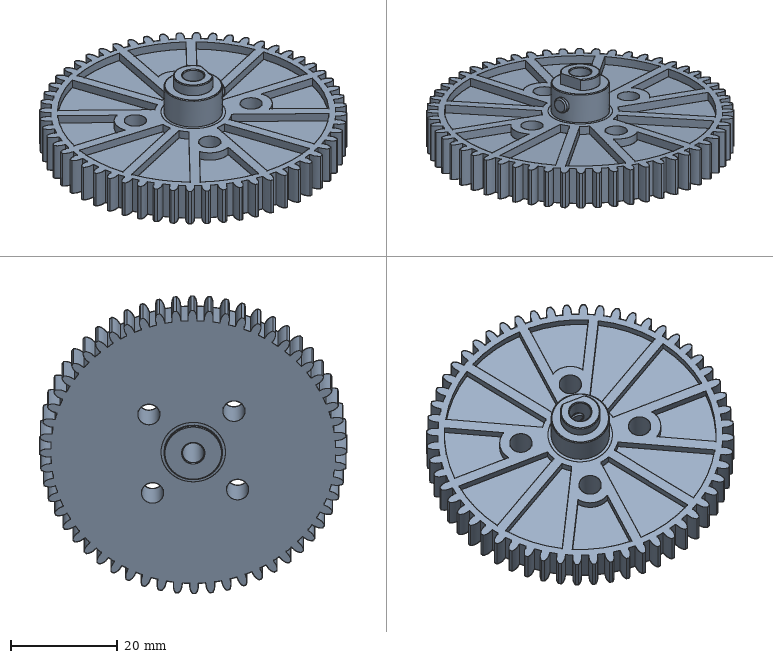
import cadquery as cq
import math

tooth_count = 56
tip_radius = 28.9
root_radius = 26.8
foot_radius = 27.3
flank_radius = 28.1
tooth_root_width = 1.7
tooth_foot_width = 1.6
tooth_flank_width = 1.45
tooth_tip_width = 0.6
gear_bottom = 0.5
gear_thickness = 7.15
gear_top = gear_bottom + gear_thickness

rim_inner_radius = 25.55
web_inner_radius = 7.3
pocket_depth = 1.6
spoke_count = 12
spoke_width = 1.9

mount_hole_count = 4
mount_hole_circle_radius = 11.3
mount_hole_radius = 2.1
mount_boss_radius = 4.0
mount_hole_start_angle = 75.0

hub_radius = 5.5
hub_top = 13.5
collar_radius = 6.05
neck_radius = 3.75
neck_top = 15.8
neck_flat_offset = 2.9
bore_radius = 2.0
hub_chamfer = 0.2

screw_radius = 1.5
screw_inner_end = 1.5
screw_outer_end = 6.25
screw_height = 10.85
screw_chamfer = 0.3


def polar_point(radius, angle):
    return (radius * math.cos(angle), radius * math.sin(angle))


def cylinder(radius, bottom, top):
    return cq.Workplane("XY").workplane(offset=bottom).circle(radius).extrude(top - bottom)


def gear_blank():
    """Toothed disc: straight feet, curved flanks, a narrow land at each tip and an arc at each root."""
    pitch_angle = 2 * math.pi / tooth_count
    root_half = tooth_root_width / 2 / root_radius
    foot_half = tooth_foot_width / 2 / foot_radius
    flank_half = tooth_flank_width / 2 / flank_radius
    tip_half = tooth_tip_width / 2 / tip_radius
    outline = cq.Workplane("XY").workplane(offset=gear_bottom).moveTo(*polar_point(root_radius, -root_half))
    for i in range(tooth_count):
        middle = i * pitch_angle
        next_root = middle + pitch_angle - root_half
        outline = (
            outline
            .lineTo(*polar_point(foot_radius, middle - foot_half))
            .threePointArc(
                polar_point(flank_radius, middle - flank_half),
                polar_point(tip_radius, middle - tip_half),
            )
            .threePointArc(
                polar_point(tip_radius, middle),
                polar_point(tip_radius, middle + tip_half),
            )
            .threePointArc(
                polar_point(flank_radius, middle + flank_half),
                polar_point(foot_radius, middle + foot_half),
            )
            .lineTo(*polar_point(root_radius, middle + root_half))
        )
        if i < tooth_count - 1:
            outline = outline.threePointArc(
                polar_point(root_radius, middle + pitch_angle / 2),
                polar_point(root_radius, next_root),
            )
    outline = outline.threePointArc(
        polar_point(root_radius, -pitch_angle / 2),
        polar_point(root_radius, -root_half),
    )
    return outline.close().extrude(gear_thickness)


def mount_angles():
    step = 360 / mount_hole_count
    return [mount_hole_start_angle + i * step for i in range(mount_hole_count)]


def mount_points():
    return [polar_point(mount_hole_circle_radius, math.radians(angle)) for angle in mount_angles()]


def pocket_cutter():
    """Ring-shaped recess in the top face, less the spokes and the lands around the mounting holes."""
    floor = cq.Workplane("XY").workplane(offset=gear_top - pocket_depth)
    cutter = floor.circle(rim_inner_radius).circle(web_inner_radius).extrude(pocket_depth)
    spoke_pair = floor.rect(2 * tip_radius, spoke_width).extrude(pocket_depth)
    for i in range(spoke_count // 2):
        angle = i * 360 / spoke_count
        cutter = cutter.cut(spoke_pair.rotate((0, 0, 0), (0, 0, 1), angle))
    half_sector = math.radians(180 / spoke_count)
    sector = (
        floor.polyline([
            (0, 0),
            polar_point(tip_radius, -half_sector),
            polar_point(tip_radius, half_sector),
        ]).close().extrude(pocket_depth)
    )
    boss = floor.center(mount_hole_circle_radius, 0).circle(mount_boss_radius).extrude(pocket_depth)
    inner_disc = floor.circle(mount_hole_circle_radius).extrude(pocket_depth)
    land = inner_disc.union(boss).intersect(sector)
    for angle in mount_angles():
        cutter = cutter.cut(land.rotate((0, 0, 0), (0, 0, 1), angle))
    return cutter


def make_gear():
    mount_holes = (
        cq.Workplane("XY").workplane(offset=gear_bottom)
        .pushPoints(mount_points()).circle(mount_hole_radius).extrude(gear_thickness)
    )
    collar_hole = cylinder(collar_radius, gear_bottom, gear_top)
    return gear_blank().cut(pocket_cutter()).cut(mount_holes).cut(collar_hole)


def screw_blank():
    return (
        cq.Workplane("XZ", origin=(0, screw_inner_end, screw_height))
        .circle(screw_radius).extrude(screw_inner_end - screw_outer_end)
    )


def make_hub():
    """Barrel with a collar inside the gear, a flatted neck on top and a through bore."""
    barrel = cylinder(hub_radius, 0, hub_top).faces("<Z or >Z").chamfer(hub_chamfer)
    collar = cylinder(collar_radius, gear_bottom, gear_top)
    neck = cylinder(neck_radius, hub_top, neck_top).faces(">Z").chamfer(hub_chamfer)
    neck_flat = (
        cq.Workplane("XY").workplane(offset=hub_top)
        .center(0, neck_flat_offset + neck_radius / 2)
        .rect(2 * neck_radius, neck_radius).extrude(neck_top - hub_top)
    )
    hub = barrel.union(collar).union(neck.cut(neck_flat))
    hub = hub.cut(cylinder(bore_radius, 0, neck_top))
    bore_rims = cq.selectors.RadiusNthSelector(0)
    hub = hub.faces("<Z or >Z").edges(bore_rims).chamfer(hub_chamfer)
    return hub.cut(screw_blank())


def make_set_screw():
    return screw_blank().faces("<Y or >Y").chamfer(screw_chamfer)


gear = make_gear()
hub = make_hub()
set_screw = make_set_screw()

result = cq.Compound.makeCompound([gear.val(), hub.val(), set_screw.val()])